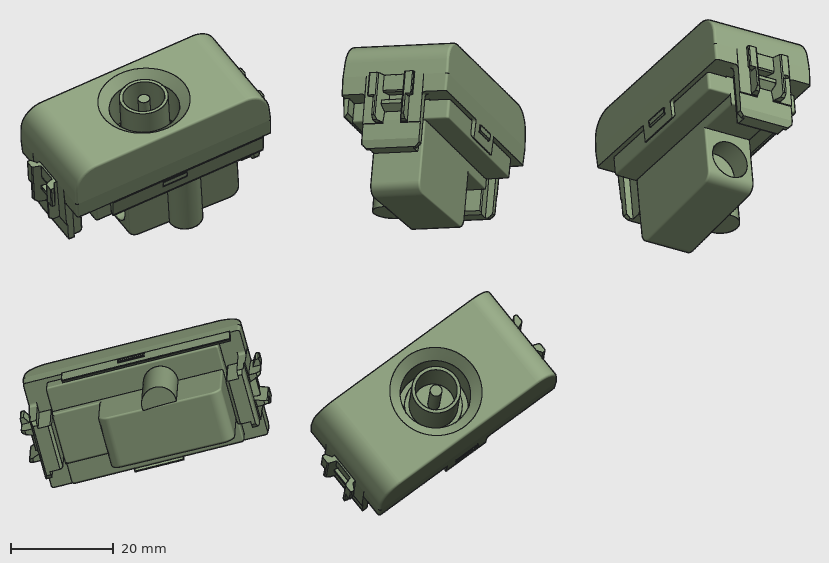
import cadquery as cq
TILT = 5.0

COVER_TOP_HALF_X = 10.7
COVER_PART_HALF_X = 11.05
COVER_BASE_HALF_X = 10.95
COVER_TOP_HALF_Y = 21.65
COVER_PART_HALF_Y = 22.0
COVER_BASE_HALF_Y = 21.85
SHOULDER_RADIUS = 4.9
PARTING_Z = -7.7
COVER_BASE_Z = -11.3
COVER_EDGE_RADIUS = 0.5

WELL_RIM_RADIUS = 9.0
WELL_RADIUS = 6.9
WELL_CONE_DEPTH = 1.85
WELL_FLOOR_Z = -10.5

CLIP_HALF_X = 6.0
RIB_HALF_X = 4.55
RIB_INNER_Y = 17.6
RIB_EDGE_CHAMFER = 0.25
CLIP_INNER_Y = 20.25
CLIP_LOWER_Y = 21.55
CLIP_STEP_Y = 21.8
CLIP_STEP_Z = -17.45
CLIP_BEVEL_Z = -20.85
CLIP_BASE_Z = -22.4
CLIP_FOOT_Y = 21.1
CLIP_CORNER = 0.8
CLIP_FOOT_CHAMFER = 0.65
CLIP_ROOT_RADIUS = 0.68
HORN_TIP_Y = 24.12
HORN_TIP_X = 4.65
HORN_STEM_X = 3.35
HORN_THROAT_Y = 22.6
HORN_LIP = 0.7
HORN_TIP_BASE_Z = -12.35
HORN_BASE_Z = -17.25
HORN_FOOT_CHAMFER = 0.75
HORN_EDGE_CHAMFER = 0.2
CHANNEL_FLOOR_HALF_X = 1.85
CHANNEL_FLOOR_Z = -16.9
CHANNEL_UNDERCUT = 0.2
CHANNEL_MOUTH_HALF_X = 2.75
WEB_Y = 22.4
WEB_HALF_X = 2.1
WEB_BASE_Z = -10.9
POCKET_TOP_Z = -11.2
POCKET_Y = 20.4
NOSE_TOP_Z = -13.0
NOSE_EDGE_Z = -13.75
NOSE_BASE_Z = -15.0
NOSE_Y = 22.7

TAB_BASE_Z = -15.1
TAB_BEVEL_HEIGHT = 0.7
TAB_TIP = 0.2
TAB_TIP_X = 10.8
TAB_ROOT_RADIUS = 0.6
LEFT_TAB_HALF_Y = 4.9
RIGHT_TAB_OUTER_X = 11.2
RIGHT_TAB_Y_MIN = -14.0
RIGHT_TAB_Y_MAX = 19.9
SLOT_HALF_Y = 2.7
SLOT_TOP_Z = -11.6
SLOT_BASE_Z = -13.05

TRAY_HALF_X = 10.1
TRAY_HALF_Y = 17.35
TRAY_TOP_Z = -11.5
TRAY_BASE_Z = -15.45
TRAY_CORNER_RADIUS = 0.55
TRAY_BASE_RADIUS = 0.35
NECK_HALF_X = 5.8
NECK_BASE_Z = TRAY_BASE_Z + 1.95
BOX_HALF_X = 5.2
BOX_Y_MIN = -7.8
BOX_Y_MAX = 17.1
BOX_LOW_Z = -30.45
BOX_HIGH_Z = -29.35
BOX_CORNER_RADIUS = 2.2
BOX_EDGE_RADIUS = 0.4
STEP_BASE_Z = -17.55
STEP_EDGE_RADIUS = 0.35
ENTRY_RADIUS = 4.0
ENTRY_Z = -23.5
ENTRY_DEPTH = 4.82
BARREL_X = 5.55
BARREL_Y = (BOX_Y_MIN + BOX_Y_MAX) / 2
BARREL_RADIUS = 3.43
BARREL_BASE_Z = -29.7
HOOK_REACH_X = 11.15
HOOK_BEVEL = 0.3

SLEEVE_RADIUS = 4.8
SLEEVE_BORE_RADIUS = 4.1
SLEEVE_TOP_Z = 1.1
BORE_FLOOR_Z = -8.2
FLANGE_RADIUS = 5.65
FLANGE_TOP_Z = -8.95
PIN_RADIUS = 1.15
PIN_TOP_Z = 0.6


def block(x_min, x_max, y_min, y_max, z_min, z_max):
    size = (x_max - x_min, y_max - y_min, z_max - z_min)
    return cq.Workplane("XY").box(*size, centered=False).translate((x_min, y_min, z_min))


def extrude_along_x(points, half_length):
    return cq.Workplane("YZ").polyline(points).close().extrude(half_length, both=True)


def disc(radius, z_min, z_max):
    return cq.Workplane("XY").workplane(offset=z_min).circle(radius).extrude(z_max - z_min)


def mirrored_pair(shape, plane):
    return shape.union(shape.mirror(plane))


def tapered_slab(lower_half_x, lower_half_y, lower_z, upper_half_x, upper_half_y, upper_z):
    """Rectangular slab whose four sides lean evenly between its two levels."""
    lengthwise = extrude_along_x([
        (-lower_half_y, lower_z),
        (-upper_half_y, upper_z),
        (upper_half_y, upper_z),
        (lower_half_y, lower_z),
    ], COVER_PART_HALF_X)
    crosswise = (
        cq.Workplane("XZ")
        .polyline([
            (-lower_half_x, lower_z),
            (-upper_half_x, upper_z),
            (upper_half_x, upper_z),
            (lower_half_x, lower_z),
        ])
        .close()
        .extrude(COVER_PART_HALF_Y, both=True)
    )
    return lengthwise.intersect(crosswise)


def cover_shell():
    """Cap that widens down to the parting line, and skirt that narrows below it."""
    cap = tapered_slab(
        COVER_PART_HALF_X, COVER_PART_HALF_Y, PARTING_Z,
        COVER_TOP_HALF_X, COVER_TOP_HALF_Y, 0,
    )
    cap = cap.edges("|X and >Z").fillet(SHOULDER_RADIUS)
    cap = cap.edges("(not (|X or |Y)) or (|Y and >Z)").fillet(COVER_EDGE_RADIUS)
    skirt = tapered_slab(
        COVER_BASE_HALF_X, COVER_BASE_HALF_Y, COVER_BASE_Z,
        COVER_PART_HALF_X, COVER_PART_HALF_Y, PARTING_Z,
    )
    skirt = skirt.edges("not (|X or |Y)").fillet(COVER_EDGE_RADIUS)
    return cap.union(skirt)


def well_cutter():
    return (
        cq.Workplane("XZ")
        .polyline([
            (0, 0), (WELL_RIM_RADIUS, 0), (WELL_RADIUS, -WELL_CONE_DEPTH),
            (WELL_RADIUS, WELL_FLOOR_Z), (0, WELL_FLOOR_Z),
        ])
        .close()
        .revolve(360, (0, 0, 0), (0, 1, 0))
    )


def channel_half_x(y):
    """Half-width at depth y of the channel, whose walls spread towards the horn tips."""
    spread = (CHANNEL_MOUTH_HALF_X - CHANNEL_FLOOR_HALF_X) / (HORN_TIP_Y - CLIP_LOWER_Y)
    return CHANNEL_FLOOR_HALF_X + spread * (y - CLIP_LOWER_Y)


def horn():
    plan = [
        (CHANNEL_FLOOR_HALF_X, CLIP_LOWER_Y),
        (CHANNEL_MOUTH_HALF_X, HORN_TIP_Y),
        (HORN_TIP_X, HORN_TIP_Y),
        (HORN_TIP_X, HORN_TIP_Y - HORN_LIP),
        (HORN_STEM_X, HORN_THROAT_Y),
        (HORN_STEM_X, CLIP_LOWER_Y),
    ]
    stem_and_tip = (
        cq.Workplane("XY", origin=(0, 0, HORN_BASE_Z))
        .polyline(plan).close()
        .extrude(PARTING_Z - HORN_BASE_Z)
        .edges("|Z and >Y").chamfer(HORN_EDGE_CHAMFER)
    )
    below_tip = block(HORN_STEM_X, HORN_TIP_X, CLIP_LOWER_Y, HORN_TIP_Y, HORN_BASE_Z, HORN_TIP_BASE_Z)
    foot_bevel = extrude_along_x([
        (HORN_TIP_Y, HORN_BASE_Z),
        (HORN_TIP_Y - HORN_FOOT_CHAMFER, HORN_BASE_Z),
        (HORN_TIP_Y, HORN_BASE_Z + HORN_FOOT_CHAMFER),
    ], HORN_TIP_X)
    return stem_and_tip.cut(below_tip).cut(foot_bevel)


def clip_plate():
    plate = extrude_along_x([
        (CLIP_INNER_Y, PARTING_Z),
        (COVER_PART_HALF_Y, PARTING_Z),
        (CLIP_STEP_Y, CLIP_STEP_Z),
        (CLIP_LOWER_Y, CLIP_STEP_Z),
        (CLIP_LOWER_Y, CLIP_BEVEL_Z),
        (CLIP_FOOT_Y, CLIP_BASE_Z),
        (CLIP_INNER_Y, CLIP_BASE_Z),
    ], CLIP_HALF_X)
    outline = (
        block(-CLIP_HALF_X, CLIP_HALF_X, 0, HORN_TIP_Y, CLIP_BASE_Z, PARTING_Z)
        .edges("|Y and <Z").chamfer(CLIP_CORNER)
    )
    return plate.intersect(outline)


def clip_rib():
    """Thickening behind the clip plate."""
    return (
        block(-RIB_HALF_X, RIB_HALF_X, RIB_INNER_Y, CLIP_INNER_Y, CLIP_BASE_Z, COVER_BASE_Z)
        .edges("|X and <Y and <Z").chamfer(CLIP_FOOT_CHAMFER)
        .edges("|Z and <Y").chamfer(RIB_EDGE_CHAMFER)
    )


def root_gusset(radius, depth):
    """Concave rounding under the skirt: its corner is at the origin, it spans +X, -Z and depth along +Y."""
    corner = block(0, radius, 0, depth, -radius, 0)
    rounding = cq.Workplane("XZ", origin=(radius, 0, -radius)).circle(radius).extrude(-depth)
    return corner.cut(rounding)


def clip_channel_cutter():
    """Open channel between the two horns, with a deeper pocket above the latch nose."""
    plan = [
        (-channel_half_x(POCKET_Y), POCKET_Y),
        (channel_half_x(POCKET_Y), POCKET_Y),
        (CHANNEL_MOUTH_HALF_X, HORN_TIP_Y),
        (-CHANNEL_MOUTH_HALF_X, HORN_TIP_Y),
    ]
    undercut_y = CLIP_LOWER_Y - CHANNEL_UNDERCUT
    depth_profile = extrude_along_x([
        (HORN_TIP_Y, PARTING_Z),
        (POCKET_Y, PARTING_Z),
        (POCKET_Y, NOSE_TOP_Z),
        (undercut_y, NOSE_TOP_Z),
        (undercut_y, NOSE_BASE_Z),
        (CLIP_LOWER_Y, CHANNEL_FLOOR_Z),
        (CLIP_LOWER_Y, CLIP_STEP_Z),
        (HORN_TIP_Y, CLIP_STEP_Z),
    ], CHANNEL_MOUTH_HALF_X)
    return (
        cq.Workplane("XY", origin=(0, 0, CLIP_STEP_Z)).polyline(plan).close()
        .extrude(PARTING_Z - CLIP_STEP_Z)
        .intersect(depth_profile)
    )


def clip_web():
    """Wall that joins the horns at the top of the channel."""
    return extrude_along_x([
        (POCKET_Y, PARTING_Z),
        (WEB_Y, PARTING_Z),
        (WEB_Y, WEB_BASE_Z),
        (WEB_Y - (WEB_BASE_Z - POCKET_TOP_Z), POCKET_TOP_Z),
        (POCKET_Y, POCKET_TOP_Z),
    ], WEB_HALF_X)


def latch_nose():
    return extrude_along_x([
        (POCKET_Y, NOSE_TOP_Z),
        (NOSE_Y, NOSE_TOP_Z),
        (NOSE_Y, NOSE_EDGE_Z),
        (CLIP_LOWER_Y - CHANNEL_UNDERCUT, NOSE_BASE_Z),
        (POCKET_Y, NOSE_BASE_Z),
    ], WEB_HALF_X)


def clip():
    """Spring clip at the +Y end of the cover."""
    gusset = root_gusset(CLIP_ROOT_RADIUS, COVER_BASE_HALF_Y - CLIP_INNER_Y)
    gusset = gusset.translate((CLIP_HALF_X, CLIP_INNER_Y, COVER_BASE_Z))
    body = clip_plate().union(clip_rib()).cut(clip_channel_cutter())
    body = body.union(mirrored_pair(horn(), "YZ"))
    body = body.union(mirrored_pair(gusset, "YZ"))
    return body.union(clip_web()).union(latch_nose())


def tab(outer_top_x, y_min, y_max):
    """Skirt tab on the +X side, seated against the tray."""
    profile = [
        (TRAY_HALF_X, COVER_BASE_Z),
        (outer_top_x, COVER_BASE_Z),
        (TAB_TIP_X, TAB_BASE_Z),
        (TAB_TIP_X - TAB_TIP, TAB_BASE_Z),
        (TRAY_HALF_X, TAB_BASE_Z + TAB_BEVEL_HEIGHT),
    ]
    return (
        cq.Workplane("XZ", origin=(0, y_max, 0)).polyline(profile).close().extrude(y_max - y_min)
    )


def make_cover():
    end_clip = clip()
    channel = clip_channel_cutter()
    left_tab = tab(COVER_BASE_HALF_X, -LEFT_TAB_HALF_Y, LEFT_TAB_HALF_Y).mirror("YZ")
    tab_gusset = (
        root_gusset(TAB_ROOT_RADIUS, COVER_BASE_HALF_X - TRAY_HALF_X)
        .rotate((0, 0, 0), (0, 0, 1), 90)
        .translate((-TRAY_HALF_X, LEFT_TAB_HALF_Y, COVER_BASE_Z))
    )
    left_tab = left_tab.union(mirrored_pair(tab_gusset, "XZ"))
    right_tab = tab(RIGHT_TAB_OUTER_X, RIGHT_TAB_Y_MIN, RIGHT_TAB_Y_MAX)
    slots = block(-HOOK_REACH_X, HOOK_REACH_X, -SLOT_HALF_Y, SLOT_HALF_Y, SLOT_BASE_Z, SLOT_TOP_Z)
    cover = cover_shell().cut(well_cutter()).cut(mirrored_pair(channel, "XZ"))
    return cover.union(left_tab).union(right_tab).cut(slots).union(mirrored_pair(end_clip, "XZ"))


def tray():
    return (
        block(-TRAY_HALF_X, TRAY_HALF_X, -TRAY_HALF_Y, TRAY_HALF_Y, TRAY_BASE_Z, TRAY_TOP_Z)
        .edges("|Z").fillet(TRAY_CORNER_RADIUS)
        .faces("<Z").edges().fillet(TRAY_BASE_RADIUS)
    )


def terminal_box():
    """Deep box with a sloping floor and rounded lower corners."""
    return (
        cq.Workplane("YZ")
        .polyline([
            (BOX_Y_MIN, NECK_BASE_Z),
            (BOX_Y_MAX, NECK_BASE_Z),
            (BOX_Y_MAX, BOX_LOW_Z),
            (BOX_Y_MIN, BOX_HIGH_Z),
        ])
        .close()
        .extrude(BOX_HALF_X, both=True)
    )


def make_rear_housing():
    box = terminal_box()
    box = box.edges("|X and (not >Z)").fillet(BOX_CORNER_RADIUS)
    box = box.faces("<X or >X").edges("not >Z").fillet(BOX_EDGE_RADIUS)
    step = block(
        -BOX_HALF_X, BOX_HALF_X, -TRAY_HALF_Y, BOX_Y_MIN + BOX_CORNER_RADIUS, STEP_BASE_Z, NECK_BASE_Z)
    step = step.edges("<Z and (not >Y)").fillet(STEP_EDGE_RADIUS)
    neck = block(-NECK_HALF_X, NECK_HALF_X, -TRAY_HALF_Y, TRAY_HALF_Y, NECK_BASE_Z, COVER_BASE_Z)
    barrel = disc(BARREL_RADIUS, BARREL_BASE_Z, NECK_BASE_Z).translate((BARREL_X, BARREL_Y, 0))
    hooks = block(-HOOK_REACH_X, HOOK_REACH_X, -SLOT_HALF_Y, SLOT_HALF_Y, SLOT_BASE_Z, SLOT_TOP_Z)
    hooks = hooks.edges("|Y and <Z").chamfer(HOOK_BEVEL)
    cable_entry = (
        cq.Workplane("XZ", origin=(0, BOX_Y_MIN, ENTRY_Z)).circle(ENTRY_RADIUS).extrude(-ENTRY_DEPTH)
    )
    housing = tray().union(step).union(neck).union(box).union(barrel).union(hooks)
    return housing.cut(cable_entry)


def make_connector():
    flange = disc(FLANGE_RADIUS, WELL_FLOOR_Z, FLANGE_TOP_Z)
    sleeve = disc(SLEEVE_RADIUS, WELL_FLOOR_Z, SLEEVE_TOP_Z)
    bore = disc(SLEEVE_BORE_RADIUS, BORE_FLOOR_Z, SLEEVE_TOP_Z)
    pin = disc(PIN_RADIUS, BORE_FLOOR_Z, PIN_TOP_Z)
    return flange.union(sleeve).cut(bore).union(pin)


def tilted(body):
    return body.rotate((0, 0, 0), (0, 1, 0), -TILT).solids()


cover = tilted(make_cover())
rear_housing = tilted(make_rear_housing())
connector = tilted(make_connector())

result = cq.Compound.makeCompound([cover.val(), rear_housing.val(), connector.val()])